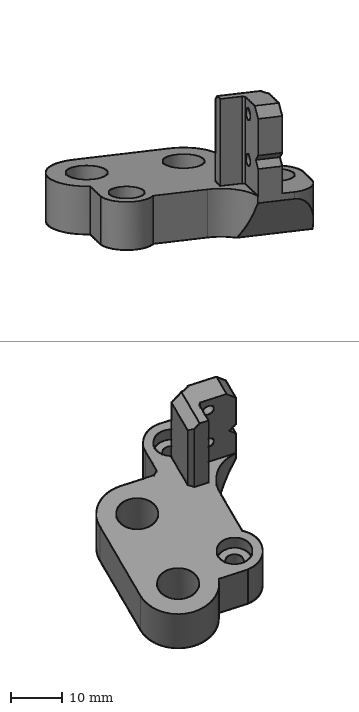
import cadquery as cq

length = 48.0
width = 32.0
height = 28.0
base_height = 10.0

barrel_diameter = 16.0
barrel_bore = 8.2
barrel_spacing = 20.0
barrel_radius = barrel_diameter / 2
barrel_x = barrel_radius
front_barrel_y = barrel_radius
rear_barrel_y = front_barrel_y + barrel_spacing
barrel_end_y = rear_barrel_y + barrel_radius
barrel_centers = [(barrel_x, front_barrel_y), (barrel_x, rear_barrel_y)]

boss_radius = 5.5
screw_hole = 3.6
counterbore = 7.0
counterbore_depth = 2.98
boss_x = barrel_diameter + boss_radius
front_boss_y = 11.5
rear_boss_y = length - boss_radius
boss_centers = [(boss_x, front_boss_y), (boss_x, rear_boss_y)]

spine_left = barrel_diameter
spine_right = 25.0
spine_front = front_boss_y - boss_radius
spine_flat_right = 22.0
inner_corner_fill = 0.9

arm_front = 35.0
web_radius = 8.0
underside_slope_start = boss_x + boss_radius
underside_slope_height = 8.55

leg_left = 20.0
leg_right = 24.0
leg_front = 30.0
wall_back = 39.98
leg_edge_chamfer = 1.0
bracket_corner_fill = 0.45
leg_top_chamfer = 2.1
wall_top_chamfer = 2.0
wall_hole = 2.4
wall_hole_x = 26.1
wall_hole_heights = (15.5, 24.95)
notch_depth = 1.4
notch_z = 17.0


def box(x_min, x_max, y_min, y_max):
    """Base-height block between the given plan limits."""
    return cq.Workplane("XY").box(
        x_max - x_min, y_max - y_min, base_height, centered=False
    ).translate((x_min, y_min, 0))


def cylinders(centers, diameter, bottom, top):
    """Vertical cylinders between two heights."""
    plane = cq.Workplane("XY", origin=(0, 0, bottom))
    return plane.pushPoints(centers).circle(diameter / 2).extrude(top - bottom)


def along_y(points):
    """Prism with an X-Z profile running through the full length of the part."""
    return cq.Workplane("XZ").polyline(points).close().extrude(-length)


def make_barrels():
    middle = box(0, barrel_diameter, front_barrel_y, rear_barrel_y)
    ends = cylinders(barrel_centers, barrel_diameter, 0, base_height)
    return middle.union(ends)


def make_spine():
    spine = box(barrel_x, spine_flat_right, spine_front, barrel_end_y)
    spine = spine.union(box(spine_left, spine_right, front_boss_y, rear_boss_y))
    spine = spine.union(cylinders(boss_centers, 2 * boss_radius, 0, base_height))
    corner_fill = (
        cq.Workplane("XY")
        .polyline([
            (spine_left, barrel_end_y),
            (spine_left - inner_corner_fill, barrel_end_y),
            (spine_left, barrel_end_y + inner_corner_fill),
        ])
        .close()
        .extrude(base_height)
    )
    return spine.union(corner_fill)


def make_arm():
    web_center_x = spine_right + web_radius
    web_center_y = arm_front - web_radius
    arm = (
        cq.Workplane("XY")
        .moveTo(boss_x, web_center_y)
        .lineTo(width, web_center_y)
        .lineTo(width, length)
        .lineTo(boss_x, length)
        .close()
        .extrude(base_height)
        .edges("|Z and >X and >Y")
        .fillet(boss_radius)
    )
    web_hollow = cylinders([(web_center_x, web_center_y)], 2 * web_radius, 0, base_height)
    slope = along_y([
        (underside_slope_start, 0),
        (width, 0),
        (width, underside_slope_height),
    ])
    return arm.cut(web_hollow).cut(slope)


def make_bracket():
    screw_clearance_y = rear_boss_y - counterbore / 2
    plan = [
        (leg_left + leg_edge_chamfer, leg_front),
        (leg_right, leg_front),
        (leg_right, arm_front - bracket_corner_fill),
        (leg_right + bracket_corner_fill, arm_front),
        (width, arm_front),
        (width, wall_back),
        (boss_x, wall_back),
        (boss_x, screw_clearance_y),
        (leg_left, screw_clearance_y),
        (leg_left, leg_front + leg_edge_chamfer),
    ]
    elevation = [
        (leg_left, base_height),
        (width, base_height),
        (width, notch_z - notch_depth),
        (width - notch_depth, notch_z),
        (width, notch_z + notch_depth),
        (width, height - wall_top_chamfer),
        (width - wall_top_chamfer, height),
        (leg_left + leg_top_chamfer, height),
        (leg_left, height - leg_top_chamfer),
    ]
    bracket = cq.Workplane("XY").polyline(plan).close().extrude(height)
    hole_centers = [(wall_hole_x, z) for z in wall_hole_heights]
    holes = cq.Workplane("XZ").pushPoints(hole_centers).circle(wall_hole / 2).extrude(-length)
    return bracket.intersect(along_y(elevation)).cut(holes)


body = make_barrels().union(make_spine()).union(make_arm()).union(make_bracket())

body = body.cut(cylinders(barrel_centers, barrel_bore, 0, base_height))
body = body.cut(cylinders(boss_centers, screw_hole, 0, base_height))

result = body.cut(cylinders(boss_centers, counterbore, base_height - counterbore_depth, height))